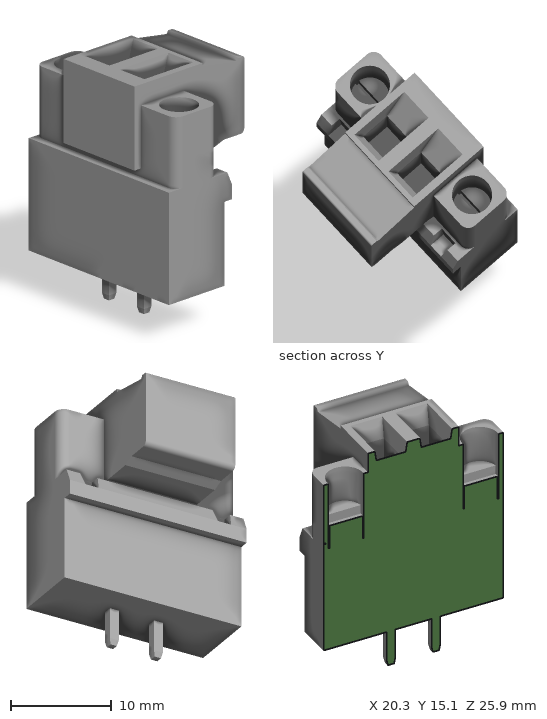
import cadquery as cq

POLE_PITCH = 5.08
POLES = [-POLE_PITCH / 2, POLE_PITCH / 2]
FLANGE_PITCH = 3 * POLE_PITCH
FLANGES = [-FLANGE_PITCH / 2, FLANGE_PITCH / 2]

HEADER_LENGTH = 20.33
HEADER_DEPTH = 7.6
HEADER_BOTTOM = 4.0
HEADER_TOP = 16.0
RAIL_BACK = 8.65
RAIL_BOTTOM = 12.98
RAIL_SLOPE_BOTTOM = 14.53
RAIL_SLOPE_RUN = 0.65

NOTCH_TOP_WIDTH = 2.02
NOTCH_FLOOR_WIDTH = 1.53
NOTCH_FRONT = 6.95

PIN_WIDTH = 1.0
PIN_TIP_WIDTH = 0.73
PIN_TIP_HEIGHT = 0.62

FLANGE_FRONT = 0.9
FLANGE_BACK = 6.7
FLANGE_TOP = 23.67
FLANGE_CORNER_RADIUS = 1.0
SCREW_Y = (FLANGE_FRONT + FLANGE_BACK) / 2
SCREW_HOLE_DIAMETER = 4.0
SCREW_HEAD_DIAMETER = 3.8
SCREW_HEAD_TOP = 19.68
SCREW_SLOT_WIDTH = 0.45
SCREW_SLOT_DEPTH = 1.0

PLUG_WIDTH = 10.28
PLUG_FRONT = 0.05
PLUG_BACK = 15.05
PLUG_TOP = 25.9
PLUG_BOTTOM = 16.9
ROOF_STEP_Y = 9.32
ROOF_STEP_BOTTOM = 25.55
GROOVE_Y = 14.12
GROOVE_BOTTOM = 24.75
HEEL_RADIUS = 0.52
LIP_FRONT = 14.32
LIP_TOP = 25.1
LIP_RADIUS = 0.18
BELLY_BOTTOM = 16.47
BELLY_FRONT = 7.49
BELLY_BACK = 10.98
HEEL_FRONT = 12.2

FUNNEL_WIDTH = 3.6
FUNNEL_FRONT = 2.15
FUNNEL_BACK = 8.8
FUNNEL_DEPTH = 1.97
SHAFT_WIDTH = 3.0
SHAFT_FRONT = 4.71
SHAFT_BACK = 7.9
SHAFT_DEPTH = 4.0


def side_extrusion(points, width):
    """Extrude a closed (Y, Z) outline along X, centred on X = 0."""
    return cq.Workplane("YZ").polyline(points).close().extrude(width / 2, both=True)


def block(width, front, back, bottom, top):
    """Box centred on X = 0 between the given Y and Z limits."""
    size = (width, back - front, top - bottom)
    return cq.Workplane("XY", origin=(0, front, bottom)).box(*size, centered=(True, False, False))


def tapered_cut(top_width, top_span, floor_width, floor_span, top, depth):
    """Loft between a rectangle at `top` and one at `depth` below it; spans are (front, back) in Y."""
    top_front, top_back = top_span
    floor_front, floor_back = floor_span
    top_middle = (top_front + top_back) / 2
    floor_middle = (floor_front + floor_back) / 2
    return (
        cq.Workplane("XY", origin=(0, top_middle, top))
        .rect(top_width, top_back - top_front)
        .workplane(offset=-depth)
        .center(0, floor_middle - top_middle)
        .rect(floor_width, floor_back - floor_front)
        .loft(ruled=True)
    )


def make_header():
    outline = [
        (0, HEADER_BOTTOM),
        (HEADER_DEPTH, HEADER_BOTTOM),
        (HEADER_DEPTH, RAIL_BOTTOM),
        (RAIL_BACK, RAIL_BOTTOM),
        (RAIL_BACK, RAIL_SLOPE_BOTTOM),
        (RAIL_BACK - RAIL_SLOPE_RUN, HEADER_TOP),
        (0, HEADER_TOP),
    ]
    header = side_extrusion(outline, HEADER_LENGTH)
    notch_span = (NOTCH_FRONT, RAIL_BACK)
    notch_depth = HEADER_TOP - RAIL_SLOPE_BOTTOM
    notch = tapered_cut(NOTCH_TOP_WIDTH, notch_span, NOTCH_FLOOR_WIDTH, notch_span, HEADER_TOP, notch_depth)
    for x in FLANGES:
        header = header.cut(notch.translate((x, 0, 0)))
    return header


def make_pin():
    shank = (
        cq.Workplane("XY", origin=(0, SCREW_Y, PIN_TIP_HEIGHT))
        .rect(PIN_WIDTH, PIN_WIDTH)
        .extrude(HEADER_BOTTOM - PIN_TIP_HEIGHT)
    )
    tip = (
        cq.Workplane("XY", origin=(0, SCREW_Y, 0))
        .rect(PIN_TIP_WIDTH, PIN_TIP_WIDTH)
        .workplane(offset=PIN_TIP_HEIGHT)
        .rect(PIN_WIDTH, PIN_WIDTH)
        .loft(ruled=True)
    )
    return shank.union(tip)


def make_plug_body():
    outline = [
        (PLUG_FRONT, PLUG_BOTTOM),
        (PLUG_FRONT, PLUG_TOP),
        (ROOF_STEP_Y, PLUG_TOP),
        (ROOF_STEP_Y, ROOF_STEP_BOTTOM),
        (GROOVE_Y, GROOVE_BOTTOM),
        (LIP_FRONT, LIP_TOP),
        (PLUG_BACK, LIP_TOP),
        (PLUG_BACK, PLUG_BOTTOM),
        (HEEL_FRONT, PLUG_BOTTOM),
        (BELLY_BACK, BELLY_BOTTOM),
        (BELLY_FRONT, BELLY_BOTTOM),
        (FLANGE_BACK, HEADER_TOP),
        (FLANGE_FRONT, HEADER_TOP),
        (FLANGE_FRONT, PLUG_BOTTOM),
    ]
    body = side_extrusion(outline, PLUG_WIDTH)
    heel_edge = cq.selectors.NearestToPointSelector((0, PLUG_BACK, PLUG_BOTTOM))
    lip_edge = cq.selectors.NearestToPointSelector((0, PLUG_BACK, LIP_TOP))
    return body.edges(heel_edge).fillet(HEEL_RADIUS).edges(lip_edge).fillet(LIP_RADIUS)


def make_flange_bar():
    return (
        block(HEADER_LENGTH, FLANGE_FRONT, FLANGE_BACK, HEADER_TOP, FLANGE_TOP)
        .edges("|Z")
        .fillet(FLANGE_CORNER_RADIUS)
    )


def make_screw_hole():
    return (
        cq.Workplane("XY", origin=(0, SCREW_Y, HEADER_TOP))
        .circle(SCREW_HOLE_DIAMETER / 2)
        .extrude(FLANGE_TOP - HEADER_TOP)
    )


def make_screw_head():
    head = (
        cq.Workplane("XY", origin=(0, SCREW_Y, HEADER_TOP))
        .circle(SCREW_HEAD_DIAMETER / 2)
        .extrude(SCREW_HEAD_TOP - HEADER_TOP)
    )
    slot = block(
        SCREW_HEAD_DIAMETER,
        SCREW_Y - SCREW_SLOT_WIDTH / 2,
        SCREW_Y + SCREW_SLOT_WIDTH / 2,
        SCREW_HEAD_TOP - SCREW_SLOT_DEPTH,
        SCREW_HEAD_TOP,
    )
    return head.cut(slot)


def make_wire_pocket():
    funnel = tapered_cut(
        FUNNEL_WIDTH,
        (FUNNEL_FRONT, FUNNEL_BACK),
        SHAFT_WIDTH,
        (SHAFT_FRONT, SHAFT_BACK),
        PLUG_TOP,
        FUNNEL_DEPTH,
    )
    funnel_bottom = PLUG_TOP - FUNNEL_DEPTH
    shaft = block(SHAFT_WIDTH, SHAFT_FRONT, SHAFT_BACK, funnel_bottom - SHAFT_DEPTH, funnel_bottom)
    return funnel.union(shaft)


result = make_header().union(make_plug_body()).union(make_flange_bar())

for x in POLES:
    result = result.union(make_pin().translate((x, 0, 0)))
    result = result.cut(make_wire_pocket().translate((x, 0, 0)))

for x in FLANGES:
    result = result.cut(make_screw_hole().translate((x, 0, 0)))
    result = result.union(make_screw_head().translate((x, 0, 0)))